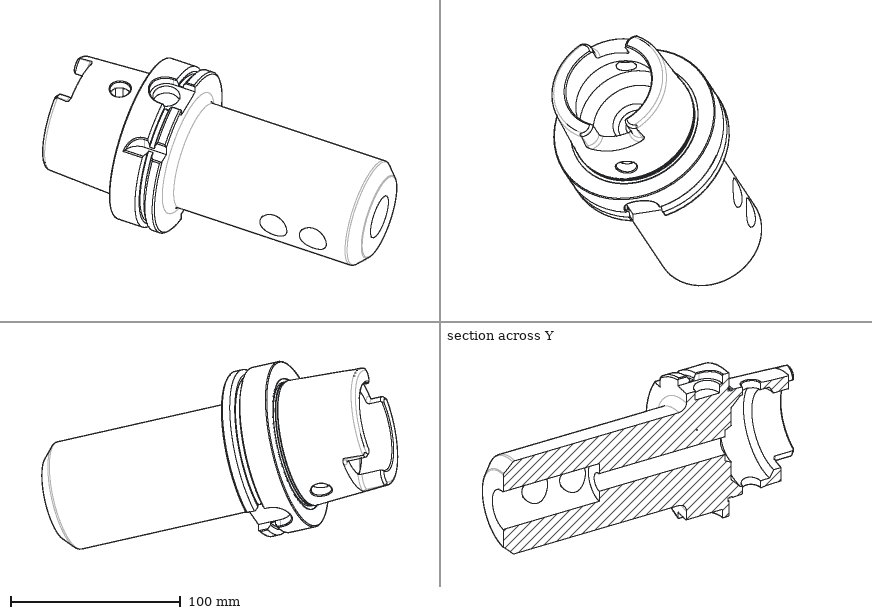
import cadquery as cq
import math

TAPER_LARGE_RADIUS = 75.5 / 2
TAPER_LENGTH = 47.5
TAPER_SLOPE = 1 / 20
TAIL_EDGE_LENGTH = 2.0
TAIL_EDGE_DEPTH = 1.6

RELIEF_RADIUS = 37.0
RELIEF_START = 48.2
RELIEF_END = 49.2
RELIEF_SHOULDER_X = 49.4
RELIEF_SHOULDER_RADIUS = 37.5
FACE_RECESS_RADIUS = 39.5
FACE_RECESS_DEPTH = 0.6

FLANGE_RADIUS = 100.0 / 2
FLANGE_START = 50.0
FLANGE_END = 79.0
FLANGE_FRONT_CHAMFER = 0.6
FLANGE_BACK_CHAMFER = 1.0

GROOVE_MOUTH_START = 66.8
GROOVE_FLOOR_START = 68.2
GROOVE_FLOOR_END = 71.2
GROOVE_MOUTH_END = 73.3
GROOVE_FLANK_RADIUS = 47.2
GROOVE_FLOOR_RADIUS = 45.7

TOTAL_LENGTH = 202.5
NECK_RADIUS = 65.0 / 2
NECK_FILLET = 5.0
NOSE_CHAMFER = 7.0
NOSE_BLEND_RADIUS = 1.6
NOSE_EDGE_FILLET = 1.0

MOUTH_RADIUS = 53.0 / 2
MOUTH_CHAMFER = 0.8
CLAMP_RECESS_RADIUS = 63.0 / 2
CLAMP_LAND_END = 20.0
CLAMP_SHOULDER_ANGLE = 60
CLAMP_RECESS_END = 42.5
CAVITY_CONE_END = 48.5
CAVITY_FLOOR_RADIUS = 24.9
SEAT_RADIUS = 25.3 / 2
SEAT_CONE_RADIUS = 21.0 / 2
SEAT_DEPTH = 4.0
COOLANT_RADIUS = 12.0 / 2
TOOL_BORE_RADIUS = 26.0 / 2
TOOL_BORE_DEPTH = 64.8

TAIL_SLOT_WIDTH = 20.0
TAIL_SLOT_UPPER_DEPTH = 10.0
TAIL_SLOT_LOWER_DEPTH = 15.0
TAIL_SLOT_FLARE_RADIUS = 6.7
TAIL_SLOT_FLARE_TOP = 31.2
TAIL_SLOT_FLOOR_FILLET = 1.8
TAIL_SLOT_MOUTH_CHAMFER = 1.6

KEYWAY_WIDTH = 20.0
KEYWAY_CENTER_X = 64.8
KEYWAY_FLOOR = 44.0
KEYWAY_CHAMFER = 0.6
POCKET_DIAMETER = 16.0
POCKET_DEPTH = 6.0
NOTCH_WALL_Y = -31.8
NOTCH_FLOOR_Z = 31.2

ACCESS_HOLE_X = 35.0
ACCESS_HOLE_DIAMETER = 12.0
ACCESS_HOLE_CHAMFER = 0.6
SCREW_HOLE_DIAMETER = 17.5
SCREW_HOLE_X = 148.4
SCREW_HOLE_SPACING = 25.5

TOLERANCE = 0.02


def taper_radius(x):
    return TAPER_LARGE_RADIUS - (TAPER_LENGTH - x) * TAPER_SLOPE


def revolve_about_x(profile):
    return profile.close().revolve(360, (0, 0, 0), (1, 0, 0))


def outer_body():
    nose_start = TOTAL_LENGTH - NOSE_CHAMFER
    blend_tangent = NOSE_BLEND_RADIUS * math.tan(math.pi / 8)
    blend_leg = blend_tangent / math.sqrt(2)
    recess_x = FLANGE_START + FACE_RECESS_DEPTH
    body = revolve_about_x(
        cq.Workplane("XY")
        .lineTo(0, taper_radius(0) - TAIL_EDGE_DEPTH)
        .radiusArc((TAIL_EDGE_LENGTH, taper_radius(TAIL_EDGE_LENGTH)), TAIL_EDGE_LENGTH)
        .lineTo(TAPER_LENGTH, TAPER_LARGE_RADIUS)
        .lineTo(RELIEF_START, RELIEF_RADIUS)
        .lineTo(RELIEF_END, RELIEF_RADIUS)
        .lineTo(RELIEF_SHOULDER_X, RELIEF_SHOULDER_RADIUS)
        .lineTo(recess_x, RELIEF_SHOULDER_RADIUS)
        .lineTo(recess_x, FACE_RECESS_RADIUS)
        .lineTo(FLANGE_START, FACE_RECESS_RADIUS)
        .lineTo(FLANGE_START, FLANGE_RADIUS - FLANGE_FRONT_CHAMFER)
        .lineTo(FLANGE_START + FLANGE_FRONT_CHAMFER, FLANGE_RADIUS)
        .lineTo(FLANGE_END - FLANGE_BACK_CHAMFER, FLANGE_RADIUS)
        .lineTo(FLANGE_END, FLANGE_RADIUS - FLANGE_BACK_CHAMFER)
        .lineTo(FLANGE_END, NECK_RADIUS + NECK_FILLET)
        .radiusArc((FLANGE_END + NECK_FILLET, NECK_RADIUS), -NECK_FILLET)
        .lineTo(nose_start - blend_tangent, NECK_RADIUS)
        .radiusArc((nose_start + blend_leg, NECK_RADIUS - blend_leg), NOSE_BLEND_RADIUS)
        .lineTo(TOTAL_LENGTH, NECK_RADIUS - NOSE_CHAMFER)
        .lineTo(TOTAL_LENGTH, 0)
    )
    return body.faces(">X").edges().fillet(NOSE_EDGE_FILLET)


def axial_bores():
    shoulder_rise = CLAMP_RECESS_RADIUS - MOUTH_RADIUS
    clamp_recess_start = CLAMP_LAND_END + shoulder_rise / math.tan(math.radians(CLAMP_SHOULDER_ANGLE))
    seat_end = CAVITY_CONE_END + SEAT_DEPTH
    tool_bore_start = TOTAL_LENGTH - TOOL_BORE_DEPTH
    return revolve_about_x(
        cq.Workplane("XY")
        .lineTo(0, MOUTH_RADIUS + MOUTH_CHAMFER)
        .lineTo(MOUTH_CHAMFER, MOUTH_RADIUS)
        .lineTo(CLAMP_LAND_END, MOUTH_RADIUS)
        .lineTo(clamp_recess_start, CLAMP_RECESS_RADIUS)
        .lineTo(CLAMP_RECESS_END, CLAMP_RECESS_RADIUS)
        .lineTo(CAVITY_CONE_END, CAVITY_FLOOR_RADIUS)
        .lineTo(CAVITY_CONE_END, SEAT_RADIUS)
        .lineTo(seat_end, SEAT_CONE_RADIUS)
        .lineTo(seat_end, COOLANT_RADIUS)
        .lineTo(tool_bore_start, COOLANT_RADIUS)
        .lineTo(tool_bore_start, TOOL_BORE_RADIUS)
        .lineTo(TOTAL_LENGTH, TOOL_BORE_RADIUS)
        .lineTo(TOTAL_LENGTH, 0)
    )


def tail_slot_outline():
    """Section of the upper slot, whose walls flare outwards in a round."""
    half_width = TAIL_SLOT_WIDTH / 2
    radius = TAIL_SLOT_FLARE_RADIUS
    flare_start_z = TAIL_SLOT_FLARE_TOP - radius
    outer_half_width = half_width + 2 * radius
    outer_z = TAPER_LARGE_RADIUS + radius
    return (
        cq.Workplane("YZ")
        .moveTo(-half_width, 0)
        .lineTo(-half_width, flare_start_z)
        .radiusArc((-half_width - radius, TAIL_SLOT_FLARE_TOP), -radius)
        .lineTo(-outer_half_width, TAIL_SLOT_FLARE_TOP)
        .lineTo(-outer_half_width, outer_z)
        .lineTo(outer_half_width, outer_z)
        .lineTo(outer_half_width, TAIL_SLOT_FLARE_TOP)
        .lineTo(half_width + radius, TAIL_SLOT_FLARE_TOP)
        .radiusArc((half_width, flare_start_z), -radius)
        .lineTo(half_width, 0)
        .close()
    )


def upper_tail_slot(depth):
    slot = tail_slot_outline().extrude(depth)
    slot = slot.faces(">X").edges().fillet(TAIL_SLOT_FLOOR_FILLET)
    widened = tail_slot_outline().offset2D(TAIL_SLOT_MOUTH_CHAMFER, "intersection")
    mouth = widened.extrude(TAIL_SLOT_MOUTH_CHAMFER, taper=45)
    return slot.union(mouth)


def flange_slot(floor, center_y=0):
    """Slot with a round end, open towards the back of the flange and outwards along Z."""
    length = 2 * (FLANGE_END - KEYWAY_CENTER_X)
    start = cq.Workplane("XY", origin=(KEYWAY_CENTER_X, center_y, floor))
    round_end = start.circle(KEYWAY_WIDTH / 2).extrude(FLANGE_RADIUS)
    straight = start.center(length / 2, 0).rect(length, KEYWAY_WIDTH).extrude(FLANGE_RADIUS)
    return round_end.union(straight)


def gripper_groove():
    clear_radius = FLANGE_RADIUS + 2
    return revolve_about_x(
        cq.Workplane("XY")
        .moveTo(GROOVE_MOUTH_START, clear_radius)
        .lineTo(GROOVE_MOUTH_START, FLANGE_RADIUS)
        .lineTo(GROOVE_FLOOR_START, GROOVE_FLANK_RADIUS)
        .lineTo(GROOVE_FLOOR_START, GROOVE_FLOOR_RADIUS)
        .lineTo(GROOVE_FLOOR_END, GROOVE_FLOOR_RADIUS)
        .lineTo(GROOVE_FLOOR_END, GROOVE_FLANK_RADIUS)
        .lineTo(GROOVE_MOUTH_END, FLANGE_RADIUS)
        .lineTo(GROOVE_MOUTH_END, clear_radius)
    )


def access_hole():
    start = cq.Workplane("XY", origin=(ACCESS_HOLE_X, 0, 0))
    return start.circle(ACCESS_HOLE_DIAMETER / 2).extrude(FLANGE_RADIUS, both=True)


def chip_pocket():
    start = cq.Workplane("XY", origin=(KEYWAY_CENTER_X, 0, KEYWAY_FLOOR - POCKET_DEPTH))
    return start.circle(POCKET_DIAMETER / 2).extrude(FLANGE_RADIUS)


def screw_holes():
    centers = [(SCREW_HOLE_X, 0), (SCREW_HOLE_X + SCREW_HOLE_SPACING, 0)]
    drill = cq.Workplane("XZ").pushPoints(centers).circle(SCREW_HOLE_DIAMETER / 2)
    return drill.extrude(FLANGE_RADIUS)


def axis_distances(edge):
    """Distances from the X axis of some points along an edge."""
    return [math.hypot(p.y, p.z) for p in edge.positions([0, 0.25, 0.5, 0.75, 1])]


def is_access_hole_rim(edge):
    """Edge where the access hole leaves the taper."""
    near_hole = abs(edge.Center().x - ACCESS_HOLE_X) < ACCESS_HOLE_DIAMETER / 2
    on_taper = all(
        abs(math.hypot(p.y, p.z) - taper_radius(p.x)) < TOLERANCE for p in edge.positions([0, 0.25, 0.5, 0.75])
    )
    is_seam = edge.geomType() == "LINE"
    return near_hole and on_taper and not is_seam


def is_keyway_rim(edge):
    """Edge that a keyway or the notch leaves on the outer face of the flange."""
    on_cylinder = all(abs(d - FLANGE_RADIUS) < TOLERANCE for d in axis_distances(edge))
    is_seam = abs(edge.Center().z) < TOLERANCE
    return on_cylinder and not is_seam and edge.geomType() != "CIRCLE"


body = outer_body().cut(axial_bores())

body = body.cut(upper_tail_slot(TAIL_SLOT_UPPER_DEPTH))
body = body.cut(upper_tail_slot(TAIL_SLOT_LOWER_DEPTH).mirror("XY"))
body = body.cut(access_hole())
body = body.edges().filter(is_access_hole_rim).chamfer(ACCESS_HOLE_CHAMFER)

keyway = flange_slot(KEYWAY_FLOOR)
body = body.cut(keyway).cut(keyway.mirror("XY"))
body = body.cut(flange_slot(NOTCH_FLOOR_Z, NOTCH_WALL_Y - KEYWAY_WIDTH / 2))
body = body.edges().filter(is_keyway_rim).chamfer(KEYWAY_CHAMFER)
body = body.cut(gripper_groove()).cut(chip_pocket())

result = body.cut(screw_holes())